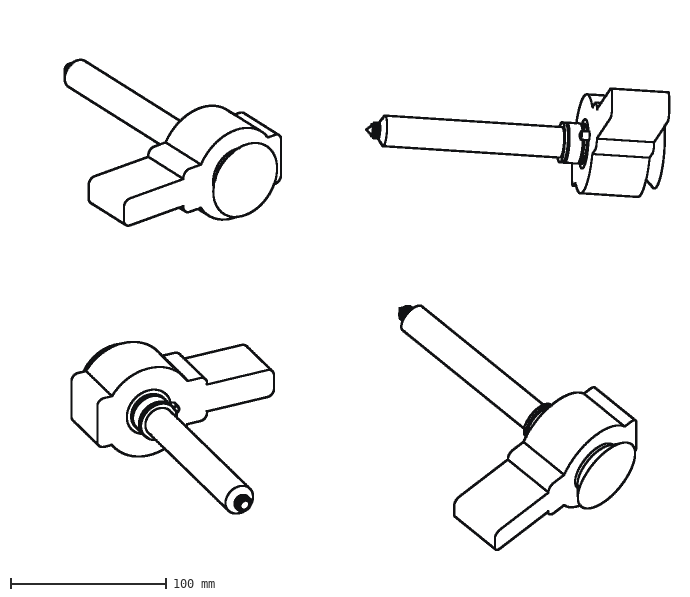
import cadquery as cq

tip_cone_end = 3.6
tip_neck_end = 4.5
tip_head_end = 8.2
shaft_nose_end = 11.7
collar_start = 128.0
handle_start = 142.9
handle_end = 180.5
cup_neck_end = 182.8
overall_length = 191.0

tip_cone_radius = 3.2
tip_neck_radius = 4.0
tip_head_radius = 5.2
tip_head_chamfer = 0.5
shaft_radius = 10.0
collar_radius = 13.0
collar_back_chamfer = 0.48
flange_radius = 15.9
flange_thickness = 3.8

collar_ring_width = 1.1
collar_ring_depth = 1.0
collar_ring_starts = [129.9, 139.6]
tip_ring_width = 0.8
tip_ring_depth = 0.5
tip_ring_start = 6.3

pin_radius = 2.9
pin_cone_radius = 2.3
pin_nose_radius = 2.7
pin_offset = 16.6
pin_start = 136.5
pin_cone_end = 137.7
pin_nose_end = 138.9
pin_end = handle_start + flange_thickness

cup_neck_radius = 18.0
cup_rim_radius = 25.8

hub_diameter = 64.0
lug_end = 37.0
lug_half_height = 18.0
shoulder_end = -41.8
shoulder_half_height = 15.9
lever_end = -90.0
lever_half_height = 10.0
corner_radius = 5.0


def turned(profile):
    """Solid of revolution about X; the profile lists (x, radius) and is closed along the axis."""
    first_x = profile[0][0]
    last_x = profile[-1][0]
    points = [(first_x, 0)] + [(x, -radius) for x, radius in profile if radius > 0] + [(last_x, 0)]
    return cq.Workplane("XY").polyline(points).close().revolve(360, (0, 0, 0), (1, 0, 0))


def disc(start, end, radius):
    """Round bar along the turning axis."""
    return cq.Workplane("YZ", origin=(start, 0, 0)).circle(radius).extrude(end - start)


def handle_bar(end, half_height):
    """Bar from the axis out to y = end, with its two outer corners rounded."""
    outer_side = ">Y" if end > 0 else "<Y"
    return (
        cq.Workplane("YZ", origin=(handle_start, end / 2, 0))
        .rect(abs(end), 2 * half_height)
        .extrude(handle_end - handle_start)
        .faces(outer_side)
        .edges("|X")
        .fillet(corner_radius)
    )


def make_seal_ring(start, width, outer_radius, depth):
    end = start + width
    return disc(start, end, outer_radius).cut(disc(start, end, outer_radius - depth))


def make_pin():
    """Pin with a conical point and a slightly tapered nose, seated in the handle beside the collar."""
    pin = turned(
        [
            (pin_start, 0),
            (pin_cone_end, pin_cone_radius),
            (pin_cone_end, pin_nose_radius),
            (pin_nose_end, pin_radius),
            (pin_end, pin_radius),
        ]
    )
    return pin.translate((0, -pin_offset, 0))


def make_spindle(seal_rings, pin):
    spindle = turned(
        [
            (0, 0),
            (tip_cone_end, tip_cone_radius),
            (tip_cone_end, tip_neck_radius),
            (tip_neck_end, tip_neck_radius),
            (tip_neck_end + tip_head_chamfer, tip_head_radius),
            (tip_head_end, tip_head_radius),
            (shaft_nose_end, shaft_radius),
            (collar_start, shaft_radius),
            (collar_start, collar_radius),
            (handle_start - collar_back_chamfer, collar_radius),
            (handle_start, collar_radius - collar_back_chamfer),
            (handle_start, flange_radius),
            (pin_end, flange_radius),
        ]
    )
    for ring in seal_rings:
        spindle = spindle.cut(ring)
    return spindle.cut(pin)


def make_handle(pin):
    handle = disc(handle_start, handle_end, hub_diameter / 2)
    bars = [
        (lug_end, lug_half_height),
        (shoulder_end, shoulder_half_height),
        (lever_end, lever_half_height),
    ]
    for end, half_height in bars:
        handle = handle.union(handle_bar(end, half_height))
    flange_recess = disc(handle_start, handle_start + flange_thickness, flange_radius)
    return handle.cut(flange_recess).cut(pin)


def make_cup():
    """Short neck against the back of the handle, flaring out to the rim."""
    return turned(
        [
            (handle_end, cup_neck_radius),
            (cup_neck_end, cup_neck_radius),
            (overall_length, cup_rim_radius),
        ]
    )


seal_rings = [
    make_seal_ring(start, collar_ring_width, collar_radius, collar_ring_depth)
    for start in collar_ring_starts
]
seal_rings.append(make_seal_ring(tip_ring_start, tip_ring_width, tip_head_radius, tip_ring_depth))

pin = make_pin()
spindle = make_spindle(seal_rings, pin)
handle = make_handle(pin)
cup = make_cup()

result = cq.Compound.makeCompound(
    [handle.val(), spindle.val(), pin.val(), cup.val(), *[ring.val() for ring in seal_rings]]
)